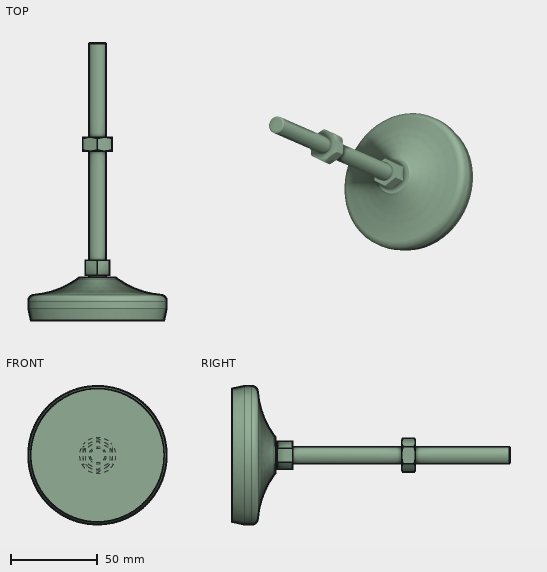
import cadquery as cq
import math


pad_radius = 40.0
base_radius = 38.4
taper_height = 7.2
shoulder_start = 11.2
shoulder_radius = 3.8
dome_edge_radius = 11.5
dome_edge_height = 24.2
crown_radius = 10.4
pad_height = 25.1
flank_middle = (23.2, 18.0)

total_length = 160.0
stud_diameter = 10.0
tip_chamfer_length = 0.5
tip_chamfer_depth = 0.8

collar_width = 14.0
collar_start = 26.0
collar_height = 8.8
nut_width = 17.0
nut_start = 97.6
nut_height = 8.0
nut_chamfer_angle = 30.0


def revolve_about_y(profile):
    return profile.close().revolve(360, (0, 0, 0), (0, 1, 0))


def hexagon(width, start, height):
    corner_diameter = width / math.cos(math.pi / 6)
    plane = cq.Plane(origin=(0, start, 0), xDir=(0, 0, 1), normal=(0, 1, 0))
    return cq.Workplane(plane).polygon(6, corner_diameter).extrude(height)


def make_pad():
    shoulder_end = pad_radius - shoulder_radius
    shoulder_top = shoulder_start + shoulder_radius
    shoulder_diagonal = shoulder_radius * math.sin(math.pi / 4)
    shoulder_middle = (shoulder_end + shoulder_diagonal, shoulder_start + shoulder_diagonal)

    profile = (
        cq.Workplane("XY")
        .lineTo(base_radius, 0)
        .lineTo(pad_radius, taper_height)
        .lineTo(pad_radius, shoulder_start)
        .threePointArc(shoulder_middle, (shoulder_end, shoulder_top))
        .threePointArc(flank_middle, (dome_edge_radius, dome_edge_height))
        .lineTo(crown_radius, pad_height)
        .lineTo(0, pad_height)
    )
    return revolve_about_y(profile)


def make_stud():
    radius = stud_diameter / 2
    profile = (
        cq.Workplane("XY")
        .lineTo(radius, 0)
        .lineTo(radius, total_length - tip_chamfer_length)
        .lineTo(radius - tip_chamfer_depth, total_length)
        .lineTo(0, total_length)
    )
    return revolve_about_y(profile)


def make_nut():
    face_radius = nut_width / 2
    corner_radius = face_radius / math.cos(math.pi / 6)
    bevel = (corner_radius - face_radius) * math.tan(math.radians(nut_chamfer_angle))
    nut_end = nut_start + nut_height
    blank = (
        cq.Workplane("XY")
        .moveTo(0, nut_start)
        .lineTo(face_radius, nut_start)
        .lineTo(corner_radius, nut_start + bevel)
        .lineTo(corner_radius, nut_end - bevel)
        .lineTo(face_radius, nut_end)
        .lineTo(0, nut_end)
    )
    return hexagon(nut_width, nut_start, nut_height).intersect(revolve_about_y(blank))


collar = hexagon(collar_width, collar_start, collar_height)
result = make_pad().union(make_stud()).union(collar).union(make_nut())